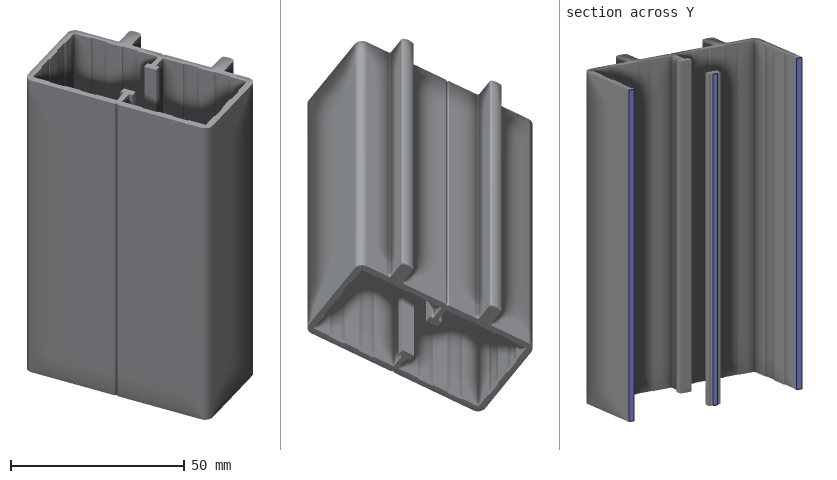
import cadquery as cq

length = 100.0
tube_width = 60.0
tube_depth = 30.0
overall_depth = 37.0
corner_radius = 2.5
wall = 2.0

groove_width = 5.0
groove_depth = 0.3
groove_pitch = 10.0

web_thickness = 1.6
web_reach = 8.5
head_width = 3.9
head_thickness = 2.0
head_fillet = 0.5

notch_width = 1.0
notch_depth = 0.5

rib_width = 4.0
rib_shift = 2.5
root_fillet = 0.6
tip_radius = 0.7
tip_crown = 0.5

half_depth = tube_depth / 2
half_chamber = tube_width / 4
cavity_width = tube_width - 2 * wall
cavity_depth = tube_depth - 2 * wall
rib_tip_y = overall_depth - half_depth


def box(width, depth, x=0, y=0):
    """Full-length block centred at (x, y)."""
    return cq.Workplane("XY").center(x, y).rect(width, depth).extrude(length)


def tube():
    """Rectangular tube with rounded outer corners and sharp inner corners."""
    outer = box(tube_width, tube_depth).edges("|Z").fillet(corner_radius)
    return outer.cut(box(cavity_width, cavity_depth))


def wall_grooves():
    """Pairs of grooves: two pairs on each long wall, one pair on each short wall."""
    across_depth = cavity_depth + 2 * groove_depth
    across_width = cavity_width + 2 * groove_depth
    cutter = box(cavity_width, cavity_depth)
    for offset in (-groove_pitch / 2, groove_pitch / 2):
        cutter = cutter.union(box(across_width, groove_width, y=offset))
        for chamber_x in (-half_chamber, half_chamber):
            cutter = cutter.union(box(groove_width, across_depth, x=chamber_x + offset))
    return cutter


def web(side):
    """T-shaped web on the wall at side * Y, filleted where its stem meets its head."""
    stem_length = web_reach - wall / 2
    stem_y = half_depth - wall / 2 - stem_length / 2
    head_y = half_depth - web_reach + head_thickness / 2
    stem = box(web_thickness, stem_length, y=side * stem_y)
    head = box(head_width, head_thickness, y=side * head_y)
    underside_y = side * (half_depth - web_reach + head_thickness)
    inner_corners = cq.selectors.BoxSelector(
        (-head_width / 4, underside_y - head_fillet, 0),
        (head_width / 4, underside_y + head_fillet, length),
    )
    return stem.union(head).edges("|Z").edges(inner_corners).fillet(head_fillet)


def notch(side):
    """Cutter for the V-shaped line on the outer face at side * Y."""
    outer_y = side * half_depth
    points = [
        (-notch_width / 2, outer_y),
        (notch_width / 2, outer_y),
        (0, outer_y - side * notch_depth),
    ]
    return cq.Workplane("XY").polyline(points).close().extrude(length)


def rib(x):
    """Outer rib with a crowned, round-cornered tip and fillets where it meets the +Y wall."""
    half_rib = rib_width / 2
    root_y = half_depth - wall / 2
    tip_corners = cq.selectors.BoxSelector(
        (x - rib_width, rib_tip_y - 2 * tip_crown, 0),
        (x + rib_width, rib_tip_y, length),
    )
    profile = (
        cq.Workplane("XY")
        .moveTo(x - half_rib - root_fillet, root_y)
        .lineTo(x + half_rib + root_fillet, root_y)
        .lineTo(x + half_rib + root_fillet, half_depth)
        .radiusArc((x + half_rib, half_depth + root_fillet), root_fillet)
        .lineTo(x + half_rib, rib_tip_y - tip_crown)
        .threePointArc((x, rib_tip_y), (x - half_rib, rib_tip_y - tip_crown))
        .lineTo(x - half_rib, half_depth + root_fillet)
        .radiusArc((x - half_rib - root_fillet, half_depth), root_fillet)
        .close()
    )
    return profile.extrude(length).edges(tip_corners).fillet(tip_radius)


result = tube().cut(wall_grooves())
for side in (-1, 1):
    result = result.union(web(side)).cut(notch(side))
    result = result.union(rib(side * half_chamber + rib_shift))